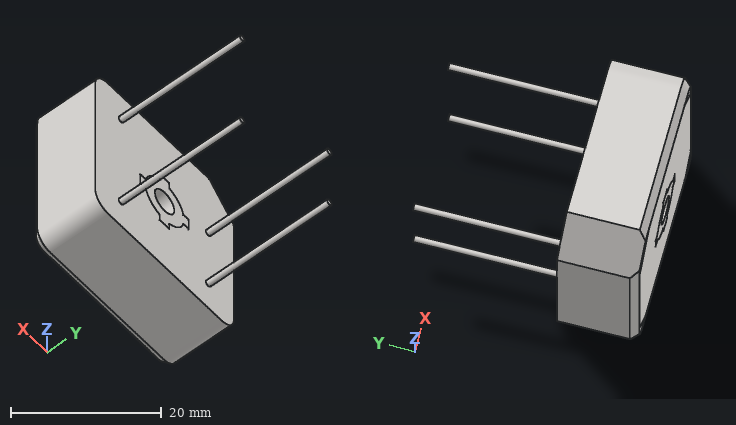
import cadquery as cq

WIDTH = 28.55
HEIGHT = 28.57
DEPTH = 11.1
CORNER_CUT = 5.05
CORNER_RADIUS = 2.6
CHAMFER_INSET = 0.95
CHAMFER_DEPTH = 1.03

HOLE_DIAMETER = 4.0
BUSHING_DIAMETER = 7.98
EAR_SPAN = 10.0
EAR_WIDTH = 2.0

PLATE_MARGIN = 0.13
PLATE_THICKNESS = 1.0
PLATE_KEY_CUT = 4.92
PLATE_CORNER_CUT = 3.12
PLATE_WIDTH = WIDTH - 2 * (CHAMFER_INSET + PLATE_MARGIN)
PLATE_HEIGHT = HEIGHT - 2 * (CHAMFER_INSET + PLATE_MARGIN)

TOTAL_LENGTH = 32.17
LEAD_DIAMETER = 1.0
LEAD_OFFSET = 8.98
MOVED_LEAD_Z = 2.12
LEAD_LENGTH = TOTAL_LENGTH - DEPTH
LEAD_POSITIONS = [
    (LEAD_OFFSET, LEAD_OFFSET),
    (LEAD_OFFSET, -LEAD_OFFSET),
    (-LEAD_OFFSET, -LEAD_OFFSET),
    (-LEAD_OFFSET, MOVED_LEAD_Z),
]

PLAIN_CORNERS = "|Y and (>X or <Z)"


def block(width, height, depth):
    """Centred rectangular block from Y = 0 to Y = depth."""
    return cq.Workplane("XZ").rect(width, height).extrude(-depth)


def cylinder(diameter, depth, y=0, x=0, z=0):
    """Round bar along +Y that starts at the given point."""
    return cq.Workplane("XZ", origin=(x, y, z)).circle(diameter / 2).extrude(-depth)


def corner_wedge(width, height, leg, depth):
    """Triangular wedge that takes the (-X, +Z) corner off a block."""
    left = -width / 2
    top = height / 2
    outline = [(left, top), (left + leg, top), (left, top - leg)]
    return cq.Workplane("XZ").polyline(outline).close().extrude(-depth)


def mounting_hole():
    return cylinder(HOLE_DIAMETER, DEPTH)


def bushing_blank():
    """Disc with four ears, through the full depth."""
    disc = cylinder(BUSHING_DIAMETER, DEPTH)
    side_ears = block(EAR_SPAN, EAR_WIDTH, DEPTH)
    upright_ears = block(EAR_WIDTH, EAR_SPAN, DEPTH)
    return disc.union(side_ears).union(upright_ears)


def plate_blank():
    """Plate outline with a large key cut and three smaller corner cuts."""
    blank = block(PLATE_WIDTH, PLATE_HEIGHT, PLATE_THICKNESS)
    blank = blank.edges(PLAIN_CORNERS).chamfer(PLATE_CORNER_CUT)
    key_cut = corner_wedge(PLATE_WIDTH, PLATE_HEIGHT, PLATE_KEY_CUT, PLATE_THICKNESS)
    return blank.cut(key_cut)


def make_housing():
    body = block(WIDTH, HEIGHT, DEPTH)
    body = body.edges(PLAIN_CORNERS).fillet(CORNER_RADIUS)
    body = body.faces("<Y").chamfer(CHAMFER_DEPTH, CHAMFER_INSET)
    body = body.cut(corner_wedge(WIDTH, HEIGHT, CORNER_CUT, DEPTH))
    return body.cut(plate_blank()).cut(bushing_blank())


def make_plate():
    return plate_blank().cut(bushing_blank())


def make_bushing():
    return bushing_blank().cut(mounting_hole())


def make_lead(x, z):
    return cylinder(LEAD_DIAMETER, LEAD_LENGTH, DEPTH, x, z)


housing = make_housing()
plate = make_plate()
bushing = make_bushing()
leads = [make_lead(x, z).val() for x, z in LEAD_POSITIONS]

result = cq.Compound.makeCompound([housing.val(), plate.val(), bushing.val(), *leads])